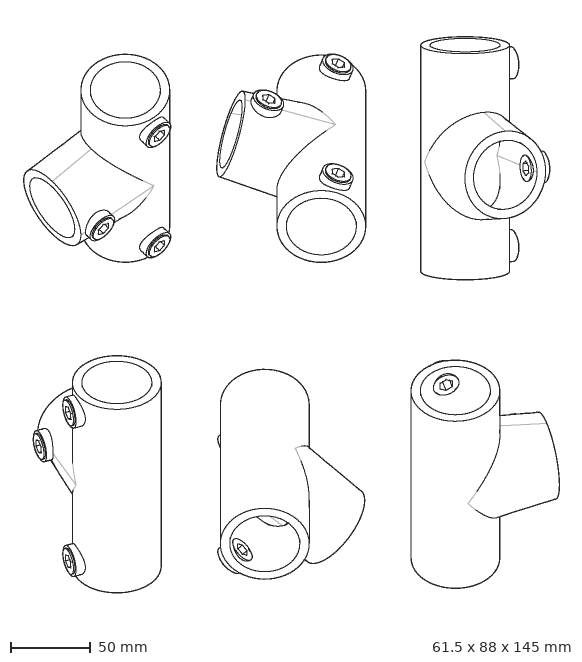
import cadquery as cq

TUBE_LENGTH = 145.0
OUTER_RADIUS = 28.0
BORE_RADIUS = 22.0

BRANCH_REACH = 60.0
BRANCH_TAPER = 0.2
ROOT_EXTRA_HEIGHT = BRANCH_TAPER * BRANCH_REACH

BOSS_RADIUS = 10.2
BOSS_END_X = 32.5
SCREW_RADIUS = 8.4
SCREW_INNER_X = 20.6
SCREW_OUTER_X = 33.5
HEX_SIDES = 6
HEX_CORNER_DIAMETER = 9.3
HEX_TURN = 30
SCREW_END_DISTANCE = 13.9

SCREW_Z = TUBE_LENGTH / 2 - SCREW_END_DISTANCE
SCREW_Y = SCREW_END_DISTANCE - BRANCH_REACH
SCREW_PLACES = [(0, SCREW_Z), (0, -SCREW_Z), (SCREW_Y, 0)]


def vertical_cylinder(radius):
    return cq.Workplane("XY").circle(radius).extrude(TUBE_LENGTH / 2, both=True)


def branch_shape(radius):
    """Loft from a round mouth to an ellipse of the same width at the tube axis."""
    return (
        cq.Workplane("XZ", origin=(0, -BRANCH_REACH, 0))
        .ellipse(radius, radius)
        .workplane(offset=-BRANCH_REACH)
        .ellipse(radius, radius + ROOT_EXTRA_HEIGHT)
        .loft(ruled=True)
    )


def x_cylinder(radius, start_x, end_x, place):
    y, z = place
    return cq.Workplane("YZ", origin=(start_x, y, z)).circle(radius).extrude(end_x - start_x)


def make_housing():
    housing = vertical_cylinder(OUTER_RADIUS).union(branch_shape(OUTER_RADIUS))
    for place in SCREW_PLACES:
        housing = housing.union(x_cylinder(BOSS_RADIUS, BORE_RADIUS, BOSS_END_X, place))
    housing = housing.cut(vertical_cylinder(BORE_RADIUS)).cut(branch_shape(BORE_RADIUS))
    for place in SCREW_PLACES:
        housing = housing.cut(x_cylinder(SCREW_RADIUS, 0, BOSS_END_X, place))
    return housing


def make_set_screw(place):
    """Plain screw body with a hexagonal socket right through it, two flats facing along Y."""
    y, z = place
    screw = x_cylinder(SCREW_RADIUS, SCREW_INNER_X, SCREW_OUTER_X, place)
    socket = (
        cq.Workplane("YZ", origin=(SCREW_INNER_X, y, z))
        .transformed(rotate=(0, 0, HEX_TURN))
        .polygon(HEX_SIDES, HEX_CORNER_DIAMETER)
        .extrude(SCREW_OUTER_X - SCREW_INNER_X)
    )
    return screw.cut(socket)


housing = make_housing()
set_screws = [make_set_screw(place) for place in SCREW_PLACES]

result = cq.Compound.makeCompound([housing.val(), *[screw.val() for screw in set_screws]])